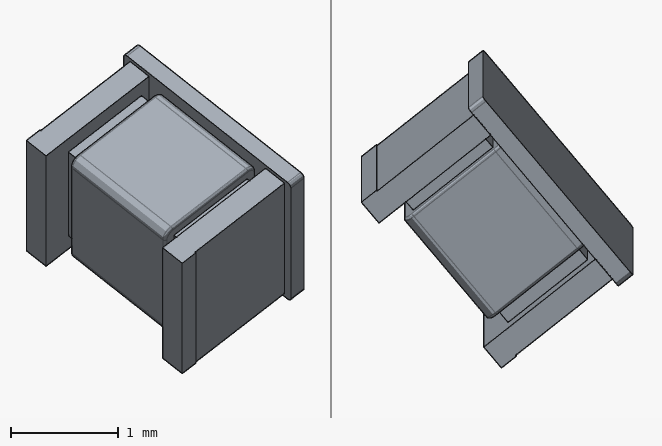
import cadquery as cq


overall_length = 2.21
overall_depth = 1.52
overall_height = 1.73

plate_thickness = 0.173
plate_corner_radius = 0.045

flange_span = 2.04
flange_gap = 1.54
flange_height = 1.64
foot_depth = 0.18
foot_step = 0.01

core_depth = 0.956
core_height = 1.242
core_front_gap = 0.292

winding_length = 1.25
winding_thickness = 0.118
winding_corner_radius = 0.105
winding_end_radius = 0.027

front_y = -overall_depth / 2
back_y = overall_depth / 2
plate_front_y = back_y - plate_thickness
core_front_y = front_y + core_front_gap
core_back_y = core_front_y + core_depth


def block(x_min, x_max, y_min, y_max, height):
    """Box between the given X and Y limits, centred on Z = 0."""
    return (
        cq.Workplane("XY")
        .box(x_max - x_min, y_max - y_min, height, centered=(False, False, True))
        .translate((x_min, y_min, 0))
    )


def make_plate():
    half_length = overall_length / 2
    plate = block(-half_length, half_length, plate_front_y, back_y, overall_height)
    return plate.edges("|Y").fillet(plate_corner_radius)


def make_flange():
    """Flange on the +X side, with a foot standing slightly proud of its outer face."""
    inner_x = flange_gap / 2
    outer_x = flange_span / 2
    web = block(inner_x, outer_x, front_y, plate_front_y, flange_height)
    foot = block(inner_x, outer_x + foot_step, front_y, front_y + foot_depth, flange_height)
    return web.union(foot)


def make_core():
    return block(-flange_gap / 2, flange_gap / 2, core_front_y, core_back_y, core_height)


def make_winding():
    """Block around the core, with rounded long edges and softened end rims."""
    half_length = winding_length / 2
    winding = block(
        -half_length,
        half_length,
        core_front_y - winding_thickness,
        core_back_y + winding_thickness,
        core_height + 2 * winding_thickness,
    )
    winding = winding.edges("|X").fillet(winding_corner_radius)
    return winding.faces("<X or >X").edges().fillet(winding_end_radius)


flange = make_flange()
result = (
    make_plate()
    .union(flange)
    .union(flange.mirror("YZ"))
    .union(make_core())
    .union(make_winding())
)